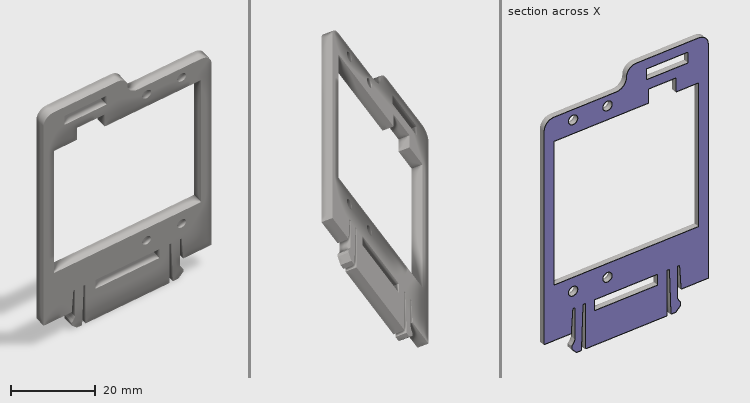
import cadquery as cq

thickness = 3.0
width = 48.0
height = 76.0
half_width = width / 2
rim = 3.0
corner_radius = 3.0
step_height = 2 * corner_radius
shoulder_z = 6.0

window_half_width = half_width - rim
window_bottom = 22.05
window_top = 63.0
notch_y_min = -14.5
notch_y_max = -6.5
notch_top = 67.0

slot_height = 3.0
top_slot_top = height - rim
top_slot_y_min = -18.0
top_slot_y_max = -6.0
bottom_slot_width = 18.25

hole_diameter = 2.6
hole_y_positions = (5.5, 15.5)
hole_z_positions = (18.0, notch_top)

slit_top = 13.0
tongue_half_width = 12.0
slit_top_width = 0.5
arm_inner_bottom_y = 13.0
arm_outer_y = 15.0
shoulder_inner_y = 15.95
hook_tip_y = shoulder_inner_y
hook_bottom_y = 14.5
hook_start_z = 4.0
hook_bend_y = 15.4
hook_bend_z = 3.1
hook_tip_top_z = 2.4
hook_tip_bottom_z = 1.5


def extruded_outline(points):
    """Extrude a closed (Y, Z) outline through the plate thickness."""
    return cq.Workplane("YZ").polyline(points).close().extrude(thickness / 2, both=True)


def block(y_min, y_max, z_min, z_max):
    """Box of plate thickness spanning the given Y and Z ranges."""
    return extruded_outline([(y_min, z_min), (y_max, z_min), (y_max, z_max), (y_min, z_max)])


def frame_body():
    """Stepped plate with rounded top corners and a rounded step."""
    radius = corner_radius
    step_z = height - step_height
    outline = (
        cq.Workplane("YZ")
        .moveTo(-half_width, shoulder_z)
        .lineTo(half_width, shoulder_z)
        .lineTo(half_width, step_z - radius)
        .tangentArcPoint((half_width - radius, step_z), relative=False)
        .lineTo(radius, step_z)
        .radiusArc((0, step_z + radius), radius)
        .radiusArc((-radius, height), -radius)
        .lineTo(radius - half_width, height)
        .tangentArcPoint((-half_width, height - radius), relative=False)
        .close()
    )
    return outline.extrude(thickness / 2, both=True)


def slits(side):
    """The two tapered slits that free one clip arm from the plate."""
    inner = [
        (side * tongue_half_width, 0),
        (side * tongue_half_width, slit_top),
        (side * (tongue_half_width + slit_top_width), slit_top),
        (side * arm_inner_bottom_y, 0),
    ]
    outer = [
        (side * arm_outer_y, shoulder_z),
        (side * arm_outer_y, slit_top),
        (side * (arm_outer_y + slit_top_width), slit_top),
        (side * shoulder_inner_y, shoulder_z),
    ]
    return extruded_outline(inner).union(extruded_outline(outer))


def hook(side):
    """Barb standing out from the lower end of one clip arm."""
    return extruded_outline([
        (side * arm_inner_bottom_y, shoulder_z),
        (side * arm_outer_y, shoulder_z),
        (side * arm_outer_y, hook_start_z),
        (side * hook_bend_y, hook_bend_z),
        (side * hook_tip_y, hook_tip_top_z),
        (side * hook_tip_y, hook_tip_bottom_z),
        (side * hook_bottom_y, 0),
        (side * arm_inner_bottom_y, 0),
    ])


def screw_holes():
    centers = [(y, z) for y in hole_y_positions for z in hole_z_positions]
    pattern = cq.Workplane("YZ").pushPoints(centers).circle(hole_diameter / 2)
    return pattern.extrude(thickness / 2, both=True)


result = frame_body().union(
    block(-arm_inner_bottom_y, arm_inner_bottom_y, 0, shoulder_z)
)
for side in (-1, 1):
    result = result.union(hook(side)).cut(slits(side))

result = result.cut(block(-window_half_width, window_half_width, window_bottom, window_top))
result = result.cut(block(notch_y_min, notch_y_max, window_top, notch_top))
result = result.cut(
    block(top_slot_y_min, top_slot_y_max, top_slot_top - slot_height, top_slot_top)
)
result = result.cut(
    block(-bottom_slot_width / 2, bottom_slot_width / 2, slit_top - slot_height, slit_top)
)
result = result.cut(screw_holes())